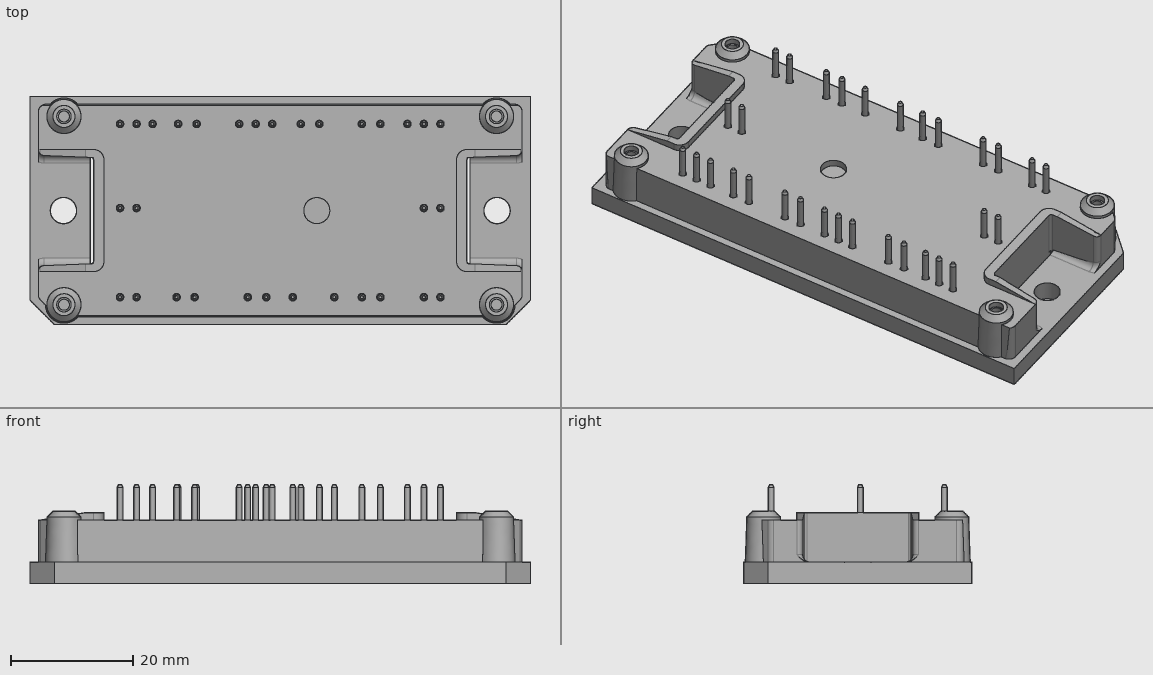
import cadquery as cq
import math

base_length = 82.0
base_width = 37.4
base_thickness = 3.5
base_corner_cut = 4.0
mount_hole_x = 35.5
through_diameter = 4.3

housing_length = 79.2
housing_foot_width = 34.85
housing_top_width = 34.35
housing_top = 10.4
housing_corner_cut = 3.1
housing_corner_radius = 1.2
center_hole_x = 6.0
center_hole_depth = 1.2

notch_wall_x = 30.6
notch_inner_width = 17.4
notch_mouth_width = 18.0
notch_inner_radius = 0.4
notch_mouth_radius = 0.9
foot_radius = 1.2
rim_back_x = 28.9
rim_width = 20.0
rim_corner_radius = 1.7
rim_top = 11.65
rim_flat_end_x = 31.9
rim_ramp_end_x = 39.4
slit_width = 0.5

boss_x = 35.4
boss_y = 15.4
boss_foot_radius = 3.0
boss_shoulder_radius = 2.8
boss_shoulder_z = 10.9
boss_crown_radius = 1.8
boss_top = 11.9
socket_diameter = 2.4
socket_depth = 1.0
pilot_diameter = 1.8
pilot_depth = 4.9

pin_top = 16.2
pin_diameter = 1.0
pin_tip_diameter = 0.5
pin_tip_height = 0.5
pin_hole_diameter = 1.2
pin_hole_depth = 0.8
pin_row_y = 14.2
middle_row_y = 0.4
back_row_x = [
    -26.2, -23.5, -20.9, -16.7, -13.7, -6.7, -4.0, -1.3,
    3.4, 6.4, 13.4, 16.4, 20.8, 23.5, 26.2,
]
middle_row_x = [-26.2, -23.5, 23.5, 26.2]
front_row_x = [-26.2, -23.5, -17.0, -14.0, -5.3, -2.3, 2.05, 8.85, 13.4, 16.4, 23.5, 26.2]

housing_height = housing_top - base_thickness
housing_end_x = housing_length / 2
notch_inner_half = notch_inner_width / 2
notch_mouth_half = notch_mouth_width / 2
mouth_start_x = housing_end_x - notch_mouth_radius


def both_ends(solid):
    """Return the left-end solid together with its mirror image at the right end."""
    return solid.union(solid.mirror("YZ"))


def make_base():
    plate = cq.Workplane("XY").box(base_length, base_width, base_thickness, centered=(True, True, False))
    plate = plate.edges("|Z and <Y").chamfer(base_corner_cut)
    return (
        plate.faces(">Z").workplane()
        .pushPoints([(-mount_hole_x, 0), (mount_hole_x, 0)])
        .hole(through_diameter)
    )


def make_housing():
    block = (
        cq.Workplane("XY", origin=(0, 0, base_thickness))
        .box(housing_length, housing_foot_width, housing_height, centered=(True, True, False))
        .edges("|Z and <Y").chamfer(housing_corner_cut)
        .edges("|Z").fillet(housing_corner_radius)
    )
    drafted = (
        cq.Workplane("YZ", origin=(-housing_end_x, 0, 0))
        .polyline([
            (-housing_foot_width / 2, base_thickness),
            (housing_foot_width / 2, base_thickness),
            (housing_top_width / 2, housing_top),
            (-housing_top_width / 2, housing_top),
        ])
        .close()
        .extrude(housing_length)
    )
    return block.intersect(drafted)


def make_rim():
    """Band around the left notch: level behind it, sloping down along its sides."""
    rim_length = housing_end_x - rim_back_x
    band = (
        cq.Workplane("XY", origin=(-(housing_end_x + rim_back_x) / 2, 0, base_thickness))
        .box(rim_length, rim_width, rim_top - base_thickness, centered=(True, True, False))
        .edges("|Z and >X").fillet(rim_corner_radius)
    )
    profile = (
        cq.Workplane("XZ", origin=(0, rim_width / 2, 0))
        .polyline([
            (-rim_ramp_end_x, base_thickness),
            (-rim_back_x, base_thickness),
            (-rim_back_x, rim_top),
            (-rim_flat_end_x, rim_top),
            (-rim_ramp_end_x, housing_top),
        ])
        .close()
        .extrude(rim_width)
    )
    return band.intersect(profile)


def make_notch():
    """Cutter for the left notch: it widens slightly outwards and ends in two rounded corners."""
    flare = notch_mouth_radius * (1 - math.sqrt(0.5))
    flare_half = notch_mouth_half + notch_mouth_radius
    pocket = (
        cq.Workplane("XY", origin=(0, 0, base_thickness))
        .moveTo(-notch_wall_x, -notch_inner_half)
        .lineTo(-mouth_start_x, -notch_mouth_half)
        .threePointArc(
            (-housing_end_x + flare, -notch_mouth_half - flare),
            (-housing_end_x, -flare_half),
        )
        .lineTo(-housing_end_x, flare_half)
        .threePointArc(
            (-housing_end_x + flare, notch_mouth_half + flare),
            (-mouth_start_x, notch_mouth_half),
        )
        .lineTo(-notch_wall_x, notch_inner_half)
        .close()
        .extrude(rim_top)
    )
    return pocket.edges("|Z and >X").fillet(notch_inner_radius)


def foot_section():
    """Concave triangle between the plate and a notch side wall, at the mouth of the left notch."""
    toe_y = notch_mouth_half - foot_radius
    reach = foot_radius * math.sqrt(0.5)
    return (
        cq.Workplane("YZ", origin=(-mouth_start_x, 0, 0))
        .moveTo(toe_y, base_thickness)
        .threePointArc(
            (toe_y + reach, base_thickness + foot_radius - reach),
            (notch_mouth_half, base_thickness + foot_radius),
        )
        .lineTo(notch_mouth_half, base_thickness)
        .close()
    )


def make_foot():
    """Fillet at the bottom of one notch side wall, turning round the mouth corner."""
    corner_y = notch_mouth_half + notch_mouth_radius
    straight = foot_section().extrude(mouth_start_x - notch_wall_x - slit_width)
    turn = foot_section().revolve(90, (corner_y, 0, 0), (corner_y, -1, 0))
    end_trim = (
        cq.Workplane("XY")
        .box(housing_length, base_width, housing_top, centered=(True, True, False))
    )
    return straight.union(turn.intersect(end_trim))


def make_slit():
    """Cutter for the narrow slot through the plate along the left notch wall."""
    return (
        cq.Workplane("XY", origin=(-notch_wall_x - slit_width / 2, 0, 0))
        .box(slit_width, notch_inner_width, base_thickness, centered=(True, True, False))
    )


def make_boss():
    return (
        cq.Workplane("XZ")
        .polyline([
            (0, base_thickness),
            (boss_foot_radius, base_thickness),
            (boss_shoulder_radius, boss_shoulder_z),
            (boss_crown_radius, boss_top),
            (0, boss_top),
        ])
        .close()
        .revolve(360, (0, 0, 0), (0, 1, 0))
        .faces(">Z").workplane()
        .cboreHole(pilot_diameter, socket_diameter, socket_depth, pilot_depth)
    )


def make_pin():
    tip_inset = (pin_diameter - pin_tip_diameter) / 2
    root_z = housing_top - pin_hole_depth
    return (
        cq.Workplane("XY", origin=(0, 0, root_z))
        .circle(pin_diameter / 2)
        .extrude(pin_top - root_z)
        .faces(">Z").chamfer(pin_tip_height, tip_inset)
    )


def drill_top(body, points, diameter, depth):
    """Drill blind holes down from the top face of the housing."""
    drills = (
        cq.Workplane("XY", origin=(0, 0, housing_top))
        .pushPoints(points)
        .circle(diameter / 2)
        .extrude(-depth)
    )
    return body.cut(drills)


pin_points = (
    [(x, pin_row_y) for x in back_row_x]
    + [(x, middle_row_y) for x in middle_row_x]
    + [(x, -pin_row_y) for x in front_row_x]
)

housing = make_housing().union(both_ends(make_rim()))
housing = housing.cut(both_ends(make_notch()))
foot = make_foot()
result = make_base().union(housing)
result = result.union(both_ends(foot)).union(both_ends(foot.mirror("XZ")))
result = result.cut(both_ends(make_slit()))

boss = make_boss()
boss_envelope = (
    cq.Workplane("XY", origin=(0, 0, base_thickness))
    .circle(boss_shoulder_radius)
    .extrude(boss_top)
)
for side_x in (-1, 1):
    for side_y in (-1, 1):
        position = (side_x * boss_x, side_y * boss_y, 0)
        result = result.cut(boss_envelope.translate(position)).union(boss.translate(position))

result = drill_top(result, [(center_hole_x, 0)], through_diameter, center_hole_depth)
result = drill_top(result, pin_points, pin_hole_diameter, pin_hole_depth)
pin = make_pin()
for x, y in pin_points:
    result = result.union(pin.translate((x, y, 0)))